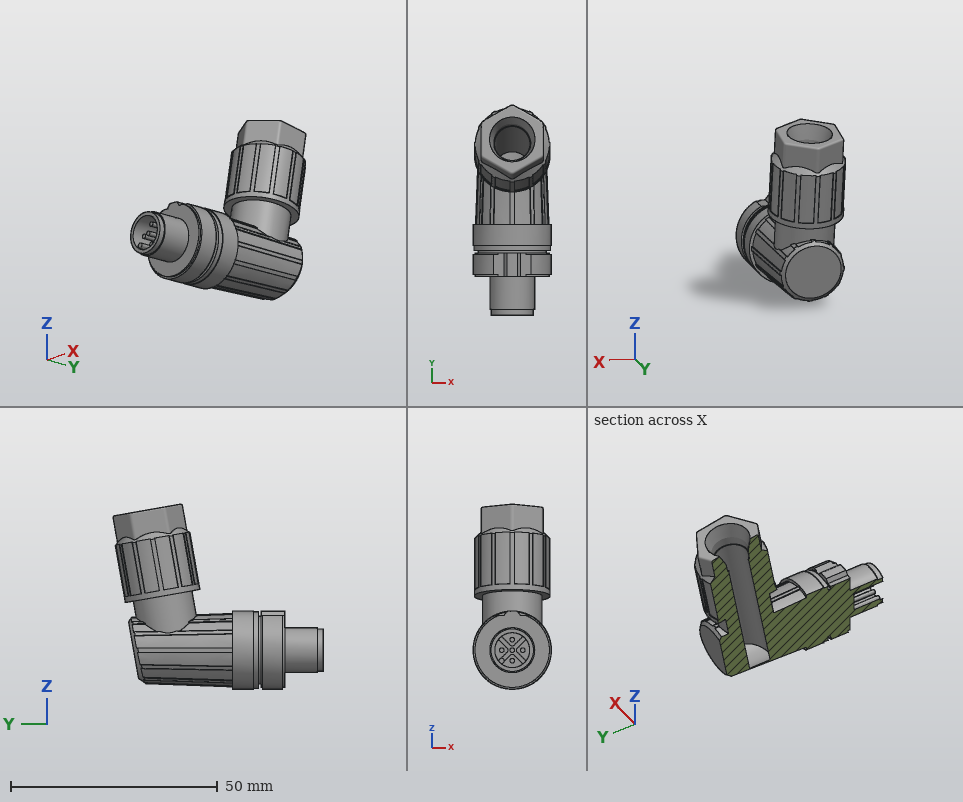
import cadquery as cq
import math


tip_radius = 5.15
tip_length = 1.5
barrel_radius = 5.45
ring_start = 9.35
ring_diameter = 19.0
ring_radius = ring_diameter / 2
ring_lip_radius = 9.0
ring_front_lip = 0.5
ring_back_lip = 0.3
groove_start = 15.05
groove_radius = 8.25
collar_start = 15.65
collar_step_radius = 9.3
collar_step_length = 1.25
collar_end = 22.05

flat_height = 8.35
mark_base_width = 4.05
mark_top_width = 2.45

socket_radius = 4.2
socket_depth = 8.15
pin_radius = 0.55
pin_offset = 2.55
pin_recess = 2.05
centre_pin_recess = 1.0
slot_width = 1.05
slot_depth = 0.25
pin_end = socket_depth + slot_depth
slot_centre_radius = 1.0
key_radius = 0.6
key_offset = 3.6
key_recess = 0.75

body_radius = 8.9
body_taper = math.radians(2.1)
body_end = 45.95
end_flat_radius = 6.95
rib_count = 12
rib_pitch = 360 / rib_count
top_rib_spacing = 34.0
body_rib_width = 1.0
body_flute_depth = 0.25

lean_angle = 10.0
branch_y = 36.6
neck_radius = 7.2
nut_diameter = 18.35
nut_radius = nut_diameter / 2
nut_bottom = 13.3
nut_rim_top = 14.7
nut_shoulder = 27.2
nut_top = 34.45
nut_rib_width = 1.05
nut_flute_depth = 0.2
hex_across_flats = 15.05
hex_edge_fillet = 1.0
hex_top_fillet = 0.5
bore_radius = 4.25
bore_ledge_radius = 4.5
bore_mouth_radius = 5.5
bore_mouth_depth = 3.85
bore_ledge_depth = 6.2
bore_floor_radius = 7.65


def turned(points):
    """Solid of revolution about Y from (radius, y) points."""
    return cq.Workplane("XY").polyline(points).close().revolve(360, (0, 0, 0), (0, 1, 0))


def plug_cylinder(radius, start, end):
    """Cylinder along Y between two Y positions."""
    return cq.Workplane("XZ", origin=(0, start, 0)).circle(radius).extrude(start - end)


def upright_cylinder(radius, bottom, top):
    """Cylinder along Z between two heights."""
    return cq.Workplane("XY").workplane(offset=bottom).circle(radius).extrude(top - bottom)


def upright_cone(bottom_radius, bottom, top_radius, top):
    """Cone frustum along Z between two heights."""
    lower = cq.Workplane("XY").workplane(offset=bottom).circle(bottom_radius)
    return lower.workplane(offset=top - bottom).circle(top_radius).loft(ruled=True)


def place_on_branch(shape):
    """Move a shape built along Z onto the leaning branch axis."""
    return shape.rotate((0, 0, 0), (1, 0, 0), -lean_angle).translate((0, branch_y, 0))


def rib_star(base, angles, width, reach, length):
    """Radial bars at the given angles, extruded from a workplane."""
    star = None
    for angle in angles:
        bar = base.transformed(rotate=(0, 0, angle)).center(reach / 2, 0)
        bar = bar.rect(reach, width).extrude(length)
        star = bar if star is None else star.union(bar)
    return star


def make_plug():
    ring_front = ring_start + ring_front_lip
    ring_back = groove_start - ring_back_lip
    step_end = collar_start + collar_step_length
    return turned([
        (0, 0),
        (tip_radius, 0), (tip_radius, tip_length),
        (barrel_radius, tip_length), (barrel_radius, ring_start),
        (ring_lip_radius, ring_start), (ring_lip_radius, ring_front),
        (ring_radius, ring_front), (ring_radius, ring_back),
        (ring_lip_radius, ring_back), (ring_lip_radius, groove_start),
        (groove_radius, groove_start), (groove_radius, collar_start),
        (collar_step_radius, collar_start), (collar_step_radius, step_end),
        (ring_radius, step_end), (ring_radius, collar_end),
        (0, collar_end),
    ])


def add_arrow_mark(plug):
    length = groove_start - ring_start
    base = cq.Workplane("XZ", origin=(0, ring_start, 0))
    flat = (
        base.center(0, (flat_height + 2 * ring_radius) / 2)
        .rect(2 * ring_radius, 2 * ring_radius - flat_height)
        .extrude(-length)
    )
    mark = (
        base.polyline([
            (-mark_base_width / 2, flat_height), (mark_base_width / 2, flat_height),
            (mark_top_width / 2, ring_radius), (-mark_top_width / 2, ring_radius),
        ])
        .close()
        .extrude(-length)
        .intersect(plug_cylinder(ring_radius, ring_start, groove_start))
    )
    return plug.cut(flat).union(mark)


def body_cone(inset):
    """Solid inside the tapered body surface moved inward; overlong, for trimming at the rear."""
    length = 2 * (body_end - collar_end)
    front = body_radius - inset
    back = front - length * math.tan(body_taper)
    end = collar_end + length
    return turned([(0, collar_end), (front, collar_end), (back, end), (0, end)])


def make_body():
    length = 2 * (body_end - collar_end)
    base = cq.Workplane("XZ", origin=(0, collar_end, 0))

    angles = [90]
    for side in (-1, 1):
        angles.append(90 + side * top_rib_spacing)
        angles += [90 + side * i * rib_pitch for i in range(2, rib_count // 2)]
    angles.append(270)
    ribs = rib_star(base, angles, body_rib_width, body_radius, -length).intersect(body_cone(0))
    body = body_cone(body_flute_depth).union(ribs)

    end_radius = 2 * body_radius
    bevel = end_radius - end_flat_radius
    trim = turned([
        (0, 0), (end_flat_radius, 0), (end_radius, -bevel),
        (end_radius, -body_end), (0, -body_end),
    ])
    trim = trim.rotate((0, 0, 0), (1, 0, 0), -lean_angle).translate((0, body_end, 0))
    return body.intersect(trim)


def make_nut():
    shoulder_top_radius = bore_mouth_radius
    shoulder_top = nut_shoulder + nut_radius - shoulder_top_radius
    grip_height = shoulder_top - nut_bottom
    outside = upright_cylinder(nut_radius, nut_bottom, nut_shoulder)
    outside = outside.union(upright_cone(nut_radius, nut_shoulder, shoulder_top_radius, shoulder_top))
    core = upright_cylinder(nut_radius - nut_flute_depth, nut_bottom, shoulder_top)
    rim = upright_cylinder(nut_radius, nut_bottom, nut_rim_top)
    base = cq.Workplane("XY").workplane(offset=nut_bottom)
    angles = [i * rib_pitch for i in range(rib_count)]
    ribs = rib_star(base, angles, nut_rib_width, nut_radius, grip_height)
    grip = outside.intersect(core.union(rim).union(ribs))

    corner_diameter = hex_across_flats / math.cos(math.radians(30))
    hexagon = (
        cq.Workplane("XY").workplane(offset=nut_rim_top)
        .transformed(rotate=(0, 0, 90))
        .polygon(6, corner_diameter)
        .extrude(nut_top - nut_rim_top)
        .edges("|Z").fillet(hex_edge_fillet)
        .faces(">Z").edges().fillet(hex_top_fillet)
    )
    return grip.union(hexagon)


def make_cable_bore():
    mouth_bottom = nut_top - bore_mouth_depth
    ledge = nut_top - bore_ledge_depth
    bore = upright_cone(bore_ledge_radius, mouth_bottom, bore_mouth_radius, nut_top)
    bore = bore.union(upright_cylinder(bore_ledge_radius, ledge, mouth_bottom))
    bore = bore.union(upright_cylinder(bore_radius, 0, ledge))

    lower = place_on_branch(upright_cylinder(bore_radius, -2 * body_radius, 0))
    lower = lower.intersect(plug_cylinder(bore_floor_radius, collar_end, body_end))
    return place_on_branch(bore).union(lower)


def make_socket():
    socket = plug_cylinder(socket_radius, 0, socket_depth)

    floor = cq.Workplane("XZ", origin=(0, socket_depth, 0))
    slots = floor.circle(slot_centre_radius).extrude(-slot_depth)
    for angle in (45, -45):
        slot = floor.transformed(rotate=(0, 0, angle)).rect(2 * socket_radius, slot_width)
        slots = slots.union(slot.extrude(-slot_depth))
    slots = slots.intersect(plug_cylinder(socket_radius, socket_depth, pin_end))
    return socket.union(slots)


def make_contacts():
    contacts = plug_cylinder(pin_radius, centre_pin_recess, pin_end)
    for x, z in ((1, 0), (-1, 0), (0, 1), (0, -1)):
        pin = plug_cylinder(pin_radius, pin_recess, pin_end)
        contacts = contacts.union(pin.translate((x * pin_offset, 0, z * pin_offset)))
    return contacts


def make_key():
    """Coding key: a round-nosed rib along the socket wall."""
    base = cq.Workplane("XZ", origin=(0, key_recess, 0)).transformed(rotate=(0, 0, 225))
    length = pin_end - key_recess
    nose = base.center(key_offset, 0).circle(key_radius).extrude(-length)
    root_length = barrel_radius - key_offset
    root = base.center(key_offset + root_length / 2, 0).rect(root_length, 2 * key_radius).extrude(-length)
    return nose.union(root).intersect(plug_cylinder(tip_radius, 0, pin_end))


plug = add_arrow_mark(make_plug())
plug = plug.cut(make_socket()).union(make_contacts()).union(make_key())
neck = upright_cylinder(neck_radius, 0, nut_rim_top)
branch = place_on_branch(neck.union(make_nut()))
result = plug.union(make_body()).union(branch).cut(make_cable_bore())